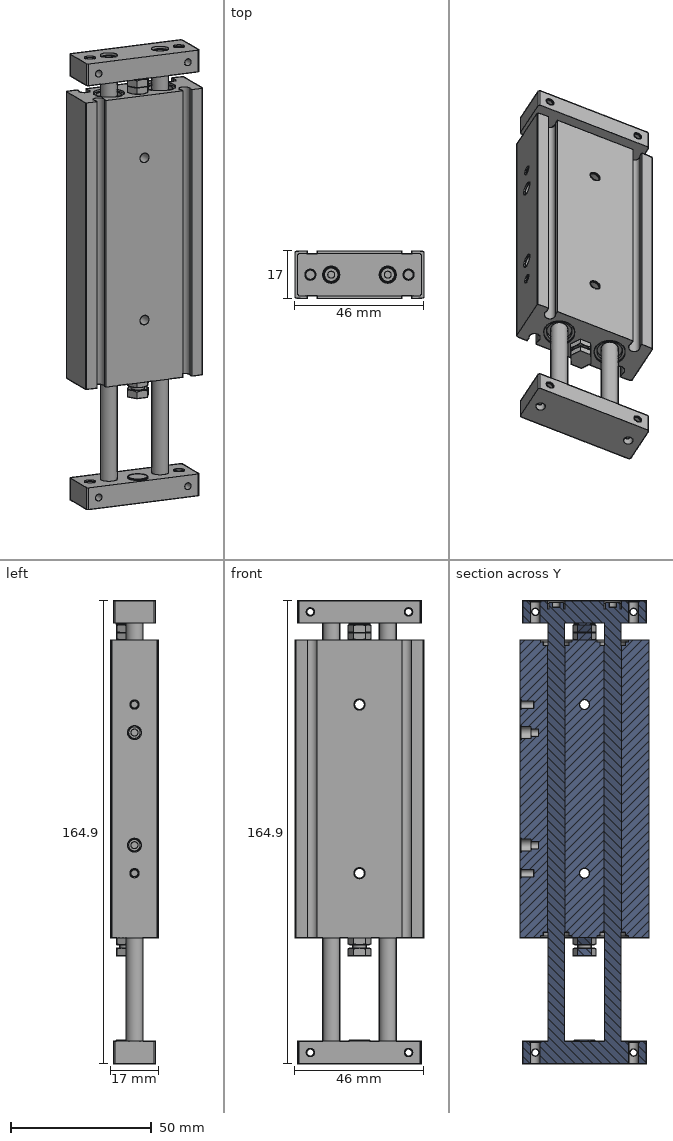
import cadquery as cq

total_height = 164.9
plate_length, plate_width, plate_height = 44.0, 15.0, 8.0
plate_chamfer = 0.5
housing_length, housing_width, housing_height = 46.0, 17.0, 106.0
upper_gap = 6.0
top_plate_base = total_height - plate_height
housing_top = top_plate_base - upper_gap
housing_base = housing_top - housing_height
housing_middle = (housing_base + housing_top) / 2

corner_chamfer = 0.3
lip_drop = 0.2
lip_x = 20.3
slot_x = 16.8
slot_diameter = 4.0
slot_opening = 3.5
slot_depth = 2.5

rod_x = 10.0
rod_diameter = 6.1
recess_diameter = 11.0
recess_depth = 0.7
seal_diameter = 9.0
seal_depth = 2.0

rod_screw_diameter = 5.5
rod_screw_chamfer = 0.3
rod_screw_recess = 0.7
counterbore_diameter = 6.1
counterbore_depth = 3.0
socket_diameter = 2.5
socket_depth = 1.6

mount_hole_diameter = 3.5
mount_hole_rim = 4.0
mount_hole_rim_depth = 0.5
mount_hole_spacing = 60.0
side_hole_rim = 3.3
side_hole_rim_depth = 0.5
side_hole_diameter = 2.5
side_hole_depth = 5.0
port_spacing = 40.0
port_rim_diameter = 5.0
port_rim_depth = 0.5
port_diameter = 4.1
port_depth = 4.0
port_bore_diameter = 2.5
port_bore_depth = 6.6

plate_hole_x = 17.5
plate_hole_rim_depth = 0.5
cross_hole_diameter = 2.5
cross_hole_rim = 3.0
upright_hole_diameter = 3.3
upright_hole_rim = 4.0

screw_y = 2.8
hex_corner_diameter = 8.2
hex_chamfer_width = 0.7
hex_chamfer_height = 0.3
head_height = 2.8
nut_height = 2.5
shank_diameter = 5.0
shank_embed = 6.6
lower_screw_reach = 6.5
bumper_base_diameter = 7.5
bumper_height = 0.5
bumper_chamfer = 0.25
upper_screw_reach = upper_gap - bumper_height


def upright_cylinder(x, y, z, diameter, height):
    return cq.Workplane("XY", origin=(x, y, z)).circle(diameter / 2).extrude(height)


def y_cylinder(x, z, diameter, start, length):
    return cq.Workplane("XZ", origin=(x, start, z)).circle(diameter / 2).extrude(-length)


def side_cylinder(z, diameter, depth):
    """Cylinder going in from the -X side of the housing."""
    return cq.Workplane("YZ", origin=(-housing_length / 2, 0, z)).circle(diameter / 2).extrude(depth)


def make_housing_blank():
    half_x = housing_length / 2
    half_y = housing_width / 2
    shoulder_x = half_x - corner_chamfer
    shoulder_y = half_y - lip_drop
    shoulder_run = shoulder_x - lip_x
    shoulder_radius = (shoulder_run ** 2 + lip_drop ** 2) / (2 * lip_drop)
    side_y = shoulder_y - corner_chamfer
    half = (
        cq.Workplane("XY", origin=(0, 0, housing_base))
        .moveTo(-half_x, 0)
        .lineTo(-half_x, side_y)
        .lineTo(-shoulder_x, shoulder_y)
        .radiusArc((-lip_x, half_y), shoulder_radius)
        .lineTo(lip_x, half_y)
        .radiusArc((shoulder_x, shoulder_y), shoulder_radius)
        .lineTo(half_x, side_y)
        .lineTo(half_x, 0)
        .close()
        .extrude(housing_height)
    )
    return half.union(half.mirror("XZ"))


def cut_sensor_slots(body):
    half_y = housing_width / 2
    for x in (-slot_x, slot_x):
        for side in (-1, 1):
            centre_y = side * (half_y - slot_depth)
            body = body.cut(upright_cylinder(x, centre_y, housing_base, slot_diameter, housing_height))
            mouth = cq.Workplane("XY", origin=(x, centre_y + side * slot_depth / 2, housing_base))
            body = body.cut(mouth.rect(slot_opening, slot_depth).extrude(housing_height))
    return body


def cut_rod_bores(body):
    for x in (-rod_x, rod_x):
        body = body.cut(upright_cylinder(x, 0, housing_base, rod_diameter, housing_height))
        for end, inward in ((housing_base, 1), (housing_top, -1)):
            body = body.cut(upright_cylinder(x, 0, end, recess_diameter, inward * recess_depth))
            body = body.cut(upright_cylinder(x, 0, end, seal_diameter, inward * seal_depth))
    return body


def cut_housing_holes(body):
    half_y = housing_width / 2
    for side in (-1, 1):
        mount_z = housing_middle + side * mount_hole_spacing / 2
        port_z = housing_middle + side * port_spacing / 2
        body = body.cut(y_cylinder(0, mount_z, mount_hole_diameter, -half_y, housing_width))
        body = body.cut(y_cylinder(0, mount_z, mount_hole_rim, -half_y, mount_hole_rim_depth))
        body = body.cut(side_cylinder(mount_z, side_hole_rim, side_hole_rim_depth))
        body = body.cut(side_cylinder(mount_z, side_hole_diameter, side_hole_depth))
        body = body.cut(side_cylinder(port_z, port_rim_diameter, port_rim_depth))
        body = body.cut(side_cylinder(port_z, port_diameter, port_depth))
        body = body.cut(side_cylinder(port_z, port_bore_diameter, port_bore_depth))
    return body


def cut_screw_holes(body):
    for end, inward in ((housing_base, 1), (housing_top, -1)):
        body = body.cut(upright_cylinder(0, screw_y, end, shank_diameter, inward * shank_embed))
    return body


def make_housing():
    body = cut_sensor_slots(make_housing_blank())
    body = cut_rod_bores(body)
    body = cut_housing_holes(body)
    return cut_screw_holes(body)


def make_plate(base_z):
    front_y = -plate_width / 2
    top_z = base_z + plate_height
    plate = (
        cq.Workplane("XY", origin=(0, 0, base_z))
        .rect(plate_length, plate_width)
        .extrude(plate_height)
        .edges("|Z")
        .chamfer(plate_chamfer)
    )
    for x in (-plate_hole_x, plate_hole_x):
        middle_z = base_z + plate_height / 2
        plate = plate.cut(upright_cylinder(x, 0, base_z, upright_hole_diameter, plate_height))
        plate = plate.cut(upright_cylinder(x, 0, top_z, upright_hole_rim, -plate_hole_rim_depth))
        plate = plate.cut(y_cylinder(x, middle_z, cross_hole_diameter, front_y, plate_width))
        plate = plate.cut(y_cylinder(x, middle_z, cross_hole_rim, front_y, plate_hole_rim_depth))
    return plate


def add_rod_screws(frame):
    """Counterbore the top plate over each rod and leave a socket screw head standing in it."""
    floor_z = total_height - counterbore_depth
    head_top = total_height - rod_screw_recess
    for x in (-rod_x, rod_x):
        head = (
            upright_cylinder(x, 0, floor_z, rod_screw_diameter, head_top - floor_z)
            .faces(">Z")
            .chamfer(rod_screw_chamfer)
        )
        head = head.cut(upright_cylinder(x, 0, head_top, socket_diameter, -socket_depth))
        frame = frame.cut(upright_cylinder(x, 0, floor_z, counterbore_diameter, counterbore_depth))
        frame = frame.union(head)
    return frame


def make_frame():
    """Moving frame: the two end plates joined by the two guide rods."""
    frame = make_plate(0).union(make_plate(top_plate_base))
    rod_length = top_plate_base - plate_height
    for x in (-rod_x, rod_x):
        frame = frame.union(upright_cylinder(x, 0, plate_height, rod_diameter, rod_length))
    return add_rod_screws(frame)


def make_hex(base_z, height, chamfered_end):
    """Hexagon with corners on X; the corners are turned off at one end (">Z" or "<Z")."""
    blank = cq.Workplane("XY", origin=(0, screw_y, base_z)).polygon(6, hex_corner_diameter).extrude(height)
    turned = (
        upright_cylinder(0, screw_y, base_z, hex_corner_diameter, height)
        .faces(chamfered_end)
        .edges()
        .chamfer(hex_chamfer_height, hex_chamfer_width)
    )
    return blank.intersect(turned)


def make_stop_screw(end_z, reach, outward, chamfered_end):
    """Hexagon screw whose head stands `reach` out of the housing end at end_z."""
    tip_z = end_z + outward * reach
    head_base = min(tip_z, tip_z - outward * head_height)
    shank_length = shank_embed + reach - head_height
    inner_z = end_z - outward * shank_embed
    shank = upright_cylinder(0, screw_y, inner_z, shank_diameter, outward * shank_length)
    return make_hex(head_base, head_height, chamfered_end).union(shank)


def make_lock_nut(end_z, outward, chamfered_end):
    base_z = min(end_z, end_z + outward * nut_height)
    nut = make_hex(base_z, nut_height, chamfered_end)
    return nut.cut(upright_cylinder(0, screw_y, base_z, shank_diameter, nut_height))


def make_bumper(face_z, outward):
    disc = upright_cylinder(0, screw_y, face_z, bumper_base_diameter, outward * bumper_height)
    return disc.faces(">Z" if outward > 0 else "<Z").chamfer(bumper_chamfer)


housing = make_housing()
frame = make_frame()
stop_screws = [
    make_stop_screw(housing_top, upper_screw_reach, 1, ">Z"),
    make_stop_screw(housing_base, lower_screw_reach, -1, ">Z"),
]
lock_nuts = [
    make_lock_nut(housing_top, 1, "<Z"),
    make_lock_nut(housing_base, -1, "<Z"),
]
bumpers = [make_bumper(top_plate_base, -1), make_bumper(plate_height, 1)]

result = cq.Compound.makeCompound([
    housing.val(),
    frame.val(),
    *[screw.val() for screw in stop_screws],
    *[nut.val() for nut in lock_nuts],
    *[bumper.val() for bumper in bumpers],
])